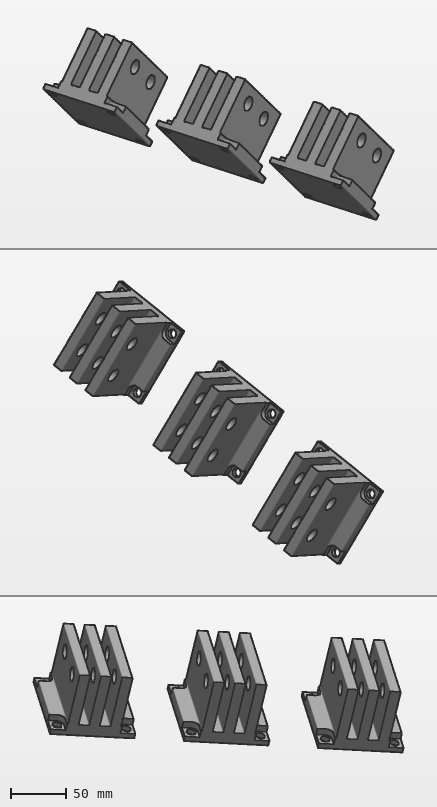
import cadquery as cq

overall_length = 332.0
bracket_count = 3
tilt_angle = 46.3

base_width = 79.7
base_depth = 80.0
plate_thickness = 5.3
pad_height = 12.0

bracket_height = 67.0
fin_thickness = 10.0
fin_count = 3

edge_radius = 1.0

notch_depth = 14.0
notch_radius = 6.3

screw_spacing = 65.0
screw_diameter = 8.3
cross_hole_spacing = 35.0
cross_hole_diameter = 13.3
cross_hole_drop = 15.3

bracket_pitch = (overall_length - base_width) / (bracket_count - 1)
fin_pitch = 2 * fin_thickness
fin_block_width = fin_pitch * (fin_count - 1) + fin_thickness
notch_width = (base_width - fin_block_width) / 2 - edge_radius
fin_height = bracket_height - pad_height
cross_hole_height = bracket_height - cross_hole_drop


def finned_body():
    """Base and fins, with all lengthwise edges rounded."""
    base = cq.Workplane("XY").box(base_width, base_depth, pad_height, centered=(True, True, False))
    fin_block = cq.Workplane("XY").box(
        fin_block_width, base_depth, bracket_height, centered=(True, True, False)
    )
    first_slot = -fin_pitch * (fin_count - 2) / 2
    slot_centres = [(first_slot + fin_pitch * i, 0) for i in range(fin_count - 1)]
    slots = (
        cq.Workplane("XY")
        .workplane(offset=pad_height)
        .pushPoints(slot_centres)
        .rect(fin_thickness, base_depth)
        .extrude(fin_height)
    )
    return base.union(fin_block).cut(slots).edges("|Y").fillet(edge_radius)


def notches():
    """Corner cuts down to the plate, rounded at their inner corner."""
    notch = (
        cq.Workplane("XY")
        .workplane(offset=plate_thickness)
        .box(notch_width, notch_depth, bracket_height, centered=False)
        .edges("|Z and >X and >Y")
        .fillet(notch_radius)
        .translate((-base_width / 2, -base_depth / 2, 0))
    )
    left_pair = notch.union(notch.mirror("XZ"))
    return left_pair.union(left_pair.mirror("YZ"))


def screw_holes():
    """Through hole in each corner of the plate."""
    return (
        cq.Workplane("XY")
        .rect(screw_spacing, screw_spacing, forConstruction=True)
        .vertices()
        .circle(screw_diameter / 2)
        .extrude(plate_thickness)
    )


def cross_holes():
    """Two holes running across all the fins."""
    half_spacing = cross_hole_spacing / 2
    return (
        cq.Workplane("YZ")
        .pushPoints([(-half_spacing, cross_hole_height), (half_spacing, cross_hole_height)])
        .circle(cross_hole_diameter / 2)
        .extrude(fin_block_width / 2, both=True)
    )


def make_bracket(index):
    """Finned bracket, tilted about X and set at its place in the row."""
    x_position = (index - (bracket_count - 1) / 2) * bracket_pitch
    upright = finned_body().cut(notches()).cut(screw_holes()).cut(cross_holes())
    return upright.rotate((0, 0, 0), (1, 0, 0), -tilt_angle).translate((x_position, 0, 0))


brackets = [make_bracket(index).val() for index in range(bracket_count)]

result = cq.Compound.makeCompound(brackets)